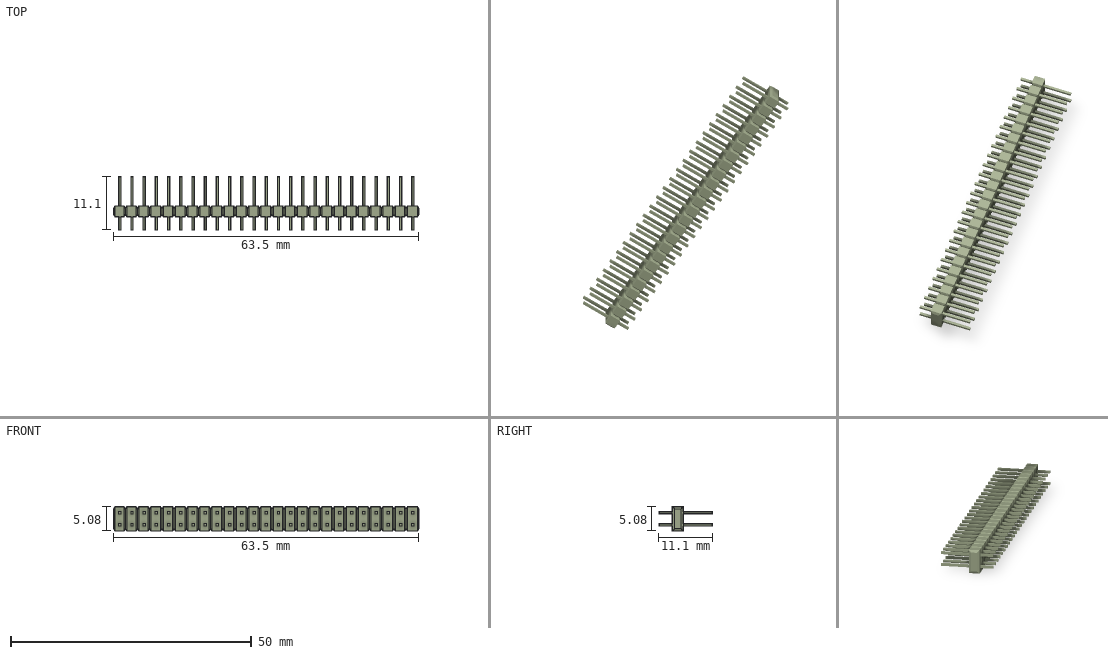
import cadquery as cq

pitch = 2.54
columns = 25
rows = 2
body_depth = 2.3
bevel_inset = 0.5
bevel_length = 0.31
groove_shift = 0.13
pin_width = 0.51
front_reach = 2.73
back_reach = 6.07

body_length = columns * pitch
body_height = rows * pitch
pin_length = front_reach + body_depth + back_reach
pin_centre_y = (back_reach - front_reach) / 2


def centred_positions(count):
    """Positions of `count` items at the common pitch, centred on zero."""
    return [(i - (count - 1) / 2) * pitch for i in range(count)]


def tapered_end(x_start, direction):
    """Frustum that narrows from the full housing section at x_start toward the cell end."""
    return (
        cq.Workplane("YZ", origin=(x_start, 0, 0))
        .rect(body_depth, body_height)
        .workplane(offset=direction * bevel_length)
        .rect(body_depth - 2 * bevel_inset, body_height - 2 * bevel_inset)
        .loft(ruled=True)
    )


def housing_cell(x_left, x_right):
    """One housing cell between two X positions: a block with a taper at both ends."""
    block_left = x_left + bevel_length
    block_right = x_right - bevel_length
    block = (
        cq.Workplane("YZ", origin=(block_left, 0, 0))
        .rect(body_depth, body_height)
        .extrude(block_right - block_left)
    )
    return block.union(tapered_end(block_left, -1)).union(tapered_end(block_right, 1))


def housing():
    """Row of cells; the shifted grooves leave the first cell shorter and the last longer."""
    grooves = [x - groove_shift for x in centred_positions(columns - 1)]
    bounds = [-body_length / 2] + grooves + [body_length / 2]
    body = cq.Workplane("XY")
    for x_left, x_right in zip(bounds, bounds[1:]):
        body = body.union(housing_cell(x_left, x_right))
    return body


def pin(x, z):
    """Square pin running along Y through the housing."""
    return cq.Workplane("XY").box(pin_width, pin_length, pin_width).translate((x, pin_centre_y, z))


result = housing()
for x in centred_positions(columns):
    for z in centred_positions(rows):
        result = result.union(pin(x, z))